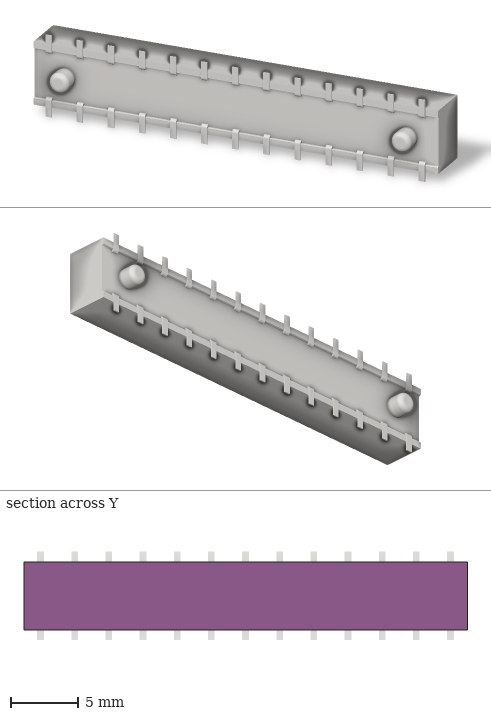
import cadquery as cq
import math

length = 33.02
depth = 4.8
height = 5.1
body_depth = 3.53
rear_y = depth / 2
rail_y = rear_y - body_depth

rail_width = 0.53
rail_height = 0.15
rail_slope = 0.05
floor_y = rail_y + rail_height

lead_count = 13
lead_pitch = length / lead_count
lead_width = 0.5
lead_thickness = 0.1
lead_span = 6.57
bend_radius = rail_height + lead_thickness

peg_diameter = 1.6
peg_tip_radius = 0.4
peg_x = lead_pitch * (lead_count - 2) / 2


def make_body():
    """Block with a shallow recess between the two sloped rails."""
    top = height / 2
    rail_inner = top - rail_width
    recess_edge = rail_inner - rail_slope
    upper = [
        (rear_y, top),
        (rail_y, top),
        (rail_y, rail_inner),
        (floor_y, recess_edge),
    ]
    lower = [(y, -z) for y, z in reversed(upper)]
    return cq.Workplane("YZ").polyline(upper + lower).close().extrude(length / 2, both=True)


def make_lead(x_center):
    """Flat strip on the upper rail, its inner end rounded back to the recess floor."""
    tip = lead_span / 2
    front_y = rail_y - lead_thickness
    bend_z = height / 2 - rail_width
    half_way = bend_radius * math.sqrt(0.5)
    return (
        cq.Workplane("YZ", origin=(x_center, 0, 0))
        .moveTo(rail_y, tip)
        .lineTo(front_y, tip)
        .lineTo(front_y, bend_z)
        .threePointArc((floor_y - half_way, bend_z - half_way), (floor_y, bend_z - bend_radius))
        .lineTo(floor_y, bend_z - rail_slope)
        .lineTo(rail_y, bend_z)
        .close()
        .extrude(lead_width / 2, both=True)
    )


def make_peg(x_center):
    """Round peg with a rounded tip, standing on the recess floor."""
    peg_length = floor_y + depth / 2
    peg = cq.Workplane("XZ", origin=(x_center, floor_y, 0)).circle(peg_diameter / 2).extrude(peg_length)
    return peg.faces("<Y").edges().fillet(peg_tip_radius)


result = make_body()

for index in range(lead_count):
    lead_x = (index - (lead_count - 1) / 2) * lead_pitch
    lead = make_lead(lead_x)
    result = result.union(lead).union(lead.mirror("XY"))

for side in (-1, 1):
    result = result.union(make_peg(side * peg_x))